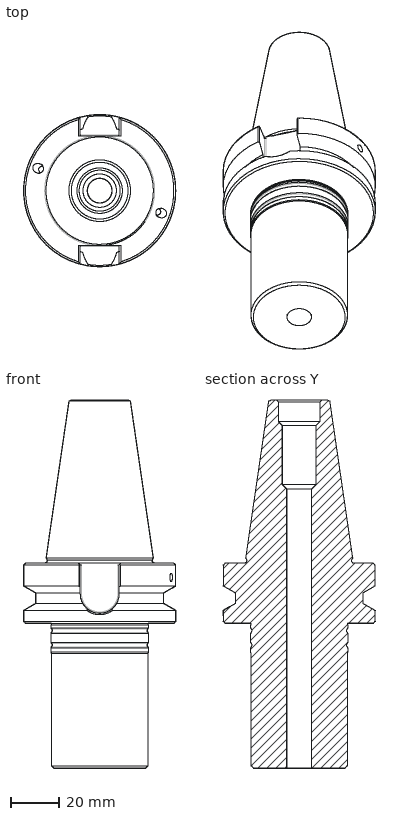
import cadquery as cq
import math


gauge_radius = 44.45 / 2
taper_top = 65.4
taper_rate = 7 / 24
taper_end_chamfer = 0.5
taper_face_radius = 23.5 / 2
relief_radius = 43.5 / 2
relief_top = -0.9
relief_fillet = 1.0

flange_radius = 63 / 2
flange_top = -2.0
flange_bottom = -27.0
flange_chamfer = 0.8
groove_center = -16.6
groove_floor_radius = 53 / 2
groove_outer_half_width = 5.0
groove_flank_angle = 30

body_radius = 40 / 2
body_bottom = -87.0
body_chamfer = 1.0

band_radius = 40.5 / 2
band_top = -27.8
band_bottom = -39.4
band_edge = 0.45
ring_groove_centers = (-30.0, -36.0)
ring_groove_width = 2.3
ring_groove_arc_depth = 0.3

slot_width = 16.1
slot_arc_center = -14.8
slot_back = 22.6
slot_back_fillet = 0.5
slot_mouth_chamfer = 0.8
slot_rim_chamfer = 0.6

bore_radius = 10.11 / 2
thread_radius = 13.83 / 2
thread_depth = 35.0
pilot_radius = 17 / 2
pilot_depth = 9.0
pilot_chamfer = 0.9

coolant_angles = (160, 340)
coolant_diameter = 3.9
coolant_circle_radius = 27.1
coolant_tilt = 30
cross_hole_diameter = 3.24
cross_hole_z = -8.0

OVERSHOOT = 5.0


def taper_radius(z):
    return gauge_radius - z * taper_rate / 2


def ring_groove(profile, center):
    """Continue the outline down the band, across one round groove."""
    top = center + ring_groove_width / 2
    bottom = center - ring_groove_width / 2
    return (
        profile.lineTo(band_radius, top)
        .lineTo(body_radius, top - band_edge)
        .threePointArc((body_radius - ring_groove_arc_depth, center), (body_radius, bottom + band_edge))
        .lineTo(band_radius, bottom)
    )


def turned_body():
    flank_height = (flange_radius - groove_floor_radius) * math.tan(math.radians(groove_flank_angle))
    floor_half_width = groove_outer_half_width - flank_height
    chamfer_start = taper_top - taper_end_chamfer
    profile = (
        cq.Workplane("XZ")
        .moveTo(0, taper_top)
        .lineTo(taper_face_radius, taper_top)
        .lineTo(taper_radius(chamfer_start), chamfer_start)
        .lineTo(gauge_radius, 0)
        .lineTo(relief_radius, relief_top)
        .lineTo(relief_radius, flange_top + relief_fillet)
        .radiusArc((relief_radius + relief_fillet, flange_top), -relief_fillet)
        .lineTo(flange_radius - flange_chamfer, flange_top)
        .lineTo(flange_radius, flange_top - flange_chamfer)
        .lineTo(flange_radius, groove_center + groove_outer_half_width)
        .lineTo(groove_floor_radius, groove_center + floor_half_width)
        .lineTo(groove_floor_radius, groove_center - floor_half_width)
        .lineTo(flange_radius, groove_center - groove_outer_half_width)
        .lineTo(flange_radius, flange_bottom + flange_chamfer)
        .lineTo(flange_radius - flange_chamfer, flange_bottom)
        .lineTo(body_radius, flange_bottom)
        .lineTo(body_radius, band_top)
        .lineTo(band_radius, band_top)
    )
    for center in ring_groove_centers:
        profile = ring_groove(profile, center)
    profile = (
        profile.lineTo(band_radius, band_bottom + band_edge)
        .lineTo(body_radius, band_bottom)
        .lineTo(body_radius, body_bottom + body_chamfer)
        .lineTo(body_radius - body_chamfer, body_bottom)
        .lineTo(0, body_bottom)
        .close()
    )
    return profile.revolve(360, (0, 0, 0), (0, 1, 0))


def drive_slot():
    """Cutting body for the -Y slot: round at the bottom, open at the top and outwards."""
    half = slot_width / 2
    return (
        cq.Workplane("XZ", origin=(0, -slot_back, 0))
        .moveTo(-half, flange_top + OVERSHOOT)
        .lineTo(-half, slot_arc_center)
        .threePointArc((0, slot_arc_center - half), (half, slot_arc_center))
        .lineTo(half, flange_top + OVERSHOOT)
        .close()
        .extrude(flange_radius - slot_back + OVERSHOOT)
        .faces(">Y")
        .edges("not >Z")
        .fillet(slot_back_fillet)
    )


def slot_mouth():
    """Cutting body that chamfers the two side edges of the -Y slot on the flange's top face."""
    half = slot_width / 2
    return (
        cq.Workplane("XZ", origin=(0, -slot_back, 0))
        .moveTo(-half - slot_mouth_chamfer, flange_top)
        .lineTo(-half, flange_top - slot_mouth_chamfer)
        .lineTo(half, flange_top - slot_mouth_chamfer)
        .lineTo(half + slot_mouth_chamfer, flange_top)
        .close()
        .extrude(flange_radius - slot_back + OVERSHOOT)
    )


def is_slot_rim_edge(edge):
    """True for edges where a slot wall meets the outer cylinder of the flange."""
    tolerance = 0.01
    on_rim = all(
        abs(math.hypot(point.x, point.y) - flange_radius) < tolerance
        for point in (edge.startPoint(), edge.endPoint())
    )
    return on_rim and edge.geomType() != "CIRCLE" and edge.BoundingBox().xmax < slot_width


def on_both_sides(cutter):
    return cutter.union(cutter.rotate((0, 0, 0), (0, 0, 1), 180))


def cut_slots(part):
    part = part.cut(on_both_sides(drive_slot()))
    rim_edges = [edge for edge in part.edges().vals() if is_slot_rim_edge(edge)]
    part = part.newObject(rim_edges).chamfer(slot_rim_chamfer)
    return part.cut(on_both_sides(slot_mouth()))


def axial_bore():
    pilot_bottom = taper_top - pilot_depth
    thread_bottom = taper_top - thread_depth
    return (
        cq.Workplane("XZ")
        .moveTo(0, taper_top)
        .lineTo(pilot_radius + pilot_chamfer, taper_top)
        .lineTo(pilot_radius, taper_top - pilot_chamfer)
        .lineTo(pilot_radius, pilot_bottom)
        .lineTo(thread_radius, pilot_bottom - (pilot_radius - thread_radius))
        .lineTo(thread_radius, thread_bottom)
        .lineTo(bore_radius, thread_bottom - (thread_radius - bore_radius))
        .lineTo(bore_radius, body_bottom)
        .lineTo(0, body_bottom)
        .close()
        .revolve(360, (0, 0, 0), (0, 1, 0))
    )


def coolant_holes(angle):
    """A hole leaning inwards from the flange top, and the cross hole that meets it from outside."""
    drop = flange_top - cross_hole_z
    tilt = math.radians(coolant_tilt)
    meeting_radius = coolant_circle_radius - drop * math.tan(tilt)
    entry = (coolant_circle_radius + OVERSHOOT * math.sin(tilt), 0, flange_top + OVERSHOOT * math.cos(tilt))
    direction = (-math.sin(tilt), 0, -math.cos(tilt))
    leaning = cq.Workplane(cq.Plane(entry, xDir=(0, 1, 0), normal=direction))
    leaning = leaning.circle(coolant_diameter / 2).extrude(OVERSHOOT + drop / math.cos(tilt))
    cross = (
        cq.Workplane("YZ", origin=(meeting_radius, 0, cross_hole_z))
        .circle(cross_hole_diameter / 2)
        .extrude(flange_radius - meeting_radius + OVERSHOOT)
    )
    return leaning.union(cross).rotate((0, 0, 0), (0, 0, 1), angle)


result = cut_slots(turned_body()).cut(axial_bore())
for hole_angle in coolant_angles:
    result = result.cut(coolant_holes(hole_angle))